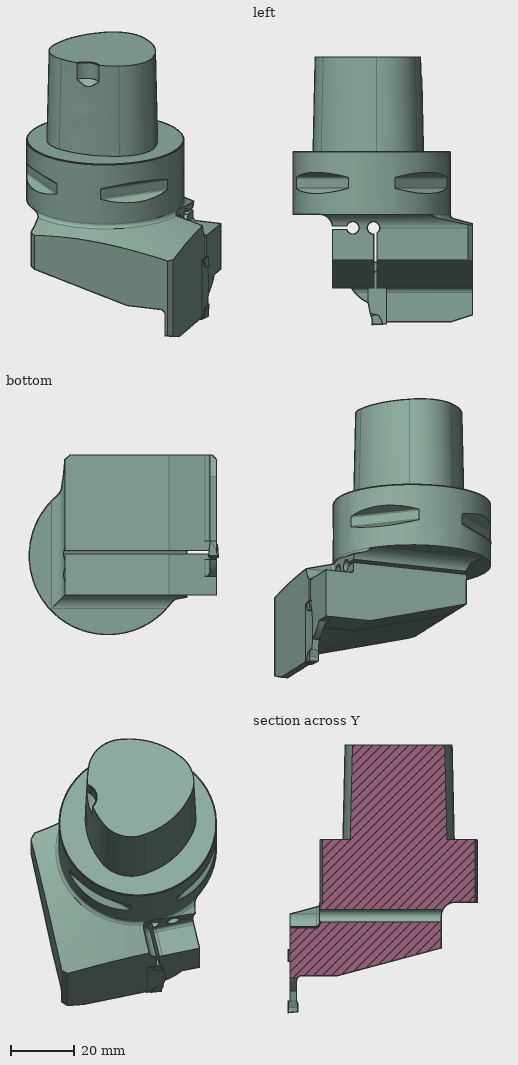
import cadquery as cq
import math


shank_height = 30.0
tip_radius = 18.6
joint_radius = 17.6
side_radius = 16.5
tip_half_angle = 24.7
shank_taper = 0.7

notch_radius = 4.4
notch_axis_y = -18.0
notch_depth = 5.4
notch_cone_height = 3.6
notch_chamfer = 0.25

flange_radius = 25.0
flange_height = 20.0
flange_chamfer = 0.25
groove_floor_distance = 22.1
groove_floor_width = 3.4
groove_flank_angle = 30.0
groove_floor_fillet = 0.4
groove_z = -flange_height / 2

head_left = -13.6
head_right = 34.5
head_front = -32.05
head_back = 12.4
head_flare = 4.25
flare_inset = head_flare * (1 - math.sqrt(0.5))
head_left_bottom = -34.4
head_bottom = -43.3
head_bottom_angle = 15.0
left_chamfer = 1.6
right_chamfer = 1.4
front_chamfer = 1.5
cone_angle = 15.0
neck_radius = 1.4

blade_left = 32.3
blade_bottom = -54.1
blade_root_fillet = 1.5
blade_heel_y = -25.2
blade_heel_z = -51.85
tongue_y = 6.5
tongue_mid = (4.4, -45.7)

insert_length = 20.1
insert_bottom = -55.0
insert_front = -4.8
insert_back = 1.1
insert_flank_length = 7.0
edge_y = -0.2
edge_left = 32.0
edge_right = 35.0
insert_heel_rise = 0.25
tip_shoulder = (0.5, 3.7)
tip_land_height = 1.6
tip_inner_top = (-2.4, 2.9)
tip_inner_end_y = -3.6
tip_bevel_height = 3.0
tip_side_relief = 0.25
end_face_rise = 0.3

hinge_hole_radius = 1.95
hinge_z = -24.2
hinge_hole_back_y = 5.95
hinge_hole_front_y = -0.6
back_slot_width = 1.0
clamp_slot_front = -1.7
clamp_slot_back = -0.7

recess_wall_x = 25.1
recess_wall_y = -4.0
recess_floor = -28.05
recess_fillet = 1.0
recess_round = 4.3

reach = 85.0


def polar(radius, degrees):
    angle = math.radians(degrees)
    return (radius * math.cos(angle), radius * math.sin(angle))


def polygon_section(z, reduction):
    """Closed wire of three tip arcs and three side arcs."""
    joint = joint_radius - reduction
    first_tip = 90
    section = cq.Workplane("XY", origin=(0, 0, z)).moveTo(*polar(joint, first_tip - tip_half_angle))
    for tip in (first_tip, first_tip + 120, first_tip + 240):
        section = section.threePointArc(
            polar(tip_radius - reduction, tip), polar(joint, tip + tip_half_angle)
        )
        section = section.threePointArc(
            polar(side_radius - reduction, tip + 60), polar(joint, tip + 120 - tip_half_angle)
        )
    return section.close().val()


def make_shank():
    sections = [polygon_section(0, 0), polygon_section(shank_height, shank_taper)]
    shank = cq.Workplane(cq.Solid.makeLoft(sections, True))
    notch_floor = shank_height - notch_depth
    drilling = (
        cq.Workplane("XZ")
        .polyline([
            (0, shank_height),
            (notch_radius + notch_chamfer, shank_height),
            (notch_radius, shank_height - notch_chamfer),
            (notch_radius, notch_floor),
            (0, notch_floor - notch_cone_height),
        ])
        .close()
        .revolve(360, (0, 0, 0), (0, 1, 0))
        .translate((0, notch_axis_y, 0))
    )
    return shank.cut(drilling)


def make_flange():
    flange = (
        cq.Workplane("XY").circle(flange_radius).extrude(-flange_height)
        .faces(">Z").chamfer(flange_chamfer)
    )
    flank_run = 2 * (flange_radius - groove_floor_distance)
    flank_rise = flank_run * math.tan(math.radians(groove_flank_angle))
    half_floor = groove_floor_width / 2
    half_mouth = half_floor + flank_rise
    groove = (
        cq.Workplane("XZ", origin=(0, 0, groove_z))
        .polyline([
            (groove_floor_distance, -half_floor),
            (groove_floor_distance + flank_run, -half_mouth),
            (groove_floor_distance + flank_run, half_mouth),
            (groove_floor_distance, half_floor),
        ])
        .close()
        .extrude(flange_radius, both=True)
        .faces("<X").edges("|Y").fillet(groove_floor_fillet)
    )
    for angle in (45, 135, 225, 315):
        flange = flange.cut(groove.rotate((0, 0, 0), (0, 0, 1), angle))
    return flange


def head_side_profile():
    """Head in the XZ plane: flared left side, sloped underside, blade on the right."""
    top = -flange_height
    slope_run = (head_left_bottom - head_bottom) / math.tan(math.radians(head_bottom_angle))
    return (
        cq.Workplane("XZ", origin=(0, reach / 2, 0))
        .moveTo(head_left - head_flare, top)
        .threePointArc(
            (head_left - flare_inset, top - flare_inset),
            (head_left, top - head_flare),
        )
        .lineTo(head_left, head_left_bottom)
        .lineTo(head_left + slope_run, head_bottom)
        .lineTo(blade_left - blade_root_fillet, head_bottom)
        .radiusArc((blade_left, head_bottom - blade_root_fillet), blade_root_fillet)
        .lineTo(blade_left, insert_bottom)
        .lineTo(head_right, insert_bottom)
        .lineTo(head_right, top)
        .close()
        .extrude(reach)
    )


def head_end_profile():
    """Head in the YZ plane: flared back side, tongue and blade outline below."""
    top = -flange_height
    tongue_end_z = insert_bottom + insert_flank_length
    return (
        cq.Workplane("YZ", origin=(-reach / 2, 0, 0))
        .moveTo(head_back + head_flare, top)
        .threePointArc(
            (head_back + flare_inset, top - flare_inset),
            (head_back, top - head_flare),
        )
        .lineTo(head_back, head_bottom)
        .lineTo(tongue_y, head_bottom)
        .threePointArc(tongue_mid, (insert_back, tongue_end_z))
        .lineTo(insert_front, tongue_end_z)
        .lineTo(insert_front, blade_bottom)
        .lineTo(blade_heel_y, blade_bottom)
        .lineTo(head_front, blade_heel_z)
        .lineTo(head_front, top)
        .close()
        .extrude(reach)
    )


def head_plan():
    """Head seen along Z: a rectangle with the two front corners chamfered."""
    far_left = head_left - head_flare
    far_back = head_back + head_flare
    return (
        cq.Workplane("XY", origin=(0, 0, insert_bottom))
        .polyline([
            (far_left, far_back),
            (far_left, head_front + front_chamfer),
            (head_left, head_front + front_chamfer),
            (head_left + left_chamfer, head_front),
            (head_right - right_chamfer, head_front),
            (head_right, head_front + front_chamfer),
            (head_right, far_back),
        ])
        .close()
        .extrude(-insert_bottom)
    )


def neck_arc_point(degrees):
    """Point on the neck fillet in the radial plane, turned from the flange side."""
    angle = math.radians(degrees)
    radius = flange_radius + neck_radius * (1 - math.cos(angle))
    return (radius, -flange_height - neck_radius * math.sin(angle))


def cone_envelope():
    """Solid of revolution whose top is the flange neck and the cone around it."""
    turn = 90 - cone_angle
    cone_start = neck_arc_point(turn)
    cone_drop = (reach - cone_start[0]) * math.tan(math.radians(cone_angle))
    return (
        cq.Workplane("XZ")
        .moveTo(0, -flange_height)
        .lineTo(flange_radius, -flange_height)
        .threePointArc(neck_arc_point(turn / 2), cone_start)
        .lineTo(reach, cone_start[1] - cone_drop)
        .lineTo(reach, -reach)
        .lineTo(0, -reach)
        .close()
        .revolve(360, (0, 0, 0), (0, 1, 0))
    )


def hinge_cutter():
    """Two holes along X, each with the slot that leaves it."""
    holes = (
        cq.Workplane("YZ", origin=(-reach / 2, 0, hinge_z))
        .pushPoints([(hinge_hole_back_y, 0), (hinge_hole_front_y, 0)])
        .circle(hinge_hole_radius)
        .extrude(reach)
    )
    back_slot = cq.Workplane("XY").box(
        reach, reach, back_slot_width, centered=(True, False, True)
    ).translate((0, hinge_hole_back_y, hinge_z))
    clamp_slot = cq.Workplane("XY").box(
        reach, clamp_slot_back - clamp_slot_front, reach, centered=(True, False, False)
    ).translate((0, clamp_slot_front, hinge_z - reach))
    return holes.union(back_slot).union(clamp_slot)


def recess_cutter():
    """Recess over the jaw, open towards +X, +Y and +Z, with rounded inner corners."""
    return (
        cq.Workplane("XY")
        .box(reach, reach, reach, centered=False)
        .edges("<Y and <Z").fillet(recess_round)
        .faces("<X").edges("<Y or <Z").fillet(recess_fillet)
        .translate((recess_wall_x, recess_wall_y, recess_floor))
    )


def seat_cutter():
    """Opening that keeps the blade's root fillet clear of the insert."""
    return cq.Workplane("XY").box(
        blade_root_fillet, insert_back - insert_front, head_bottom - insert_bottom, centered=False
    ).translate((blade_left - blade_root_fillet, insert_front, insert_bottom))


def make_holder(insert):
    head = head_side_profile().intersect(head_end_profile()).intersect(head_plan())
    head = head.intersect(cone_envelope())
    head = head.cut(hinge_cutter()).cut(recess_cutter())
    head = head.cut(seat_cutter()).cut(insert)
    return make_flange().union(make_shank()).union(head).solids()


def make_insert():
    """Double-ended insert, mirrored about its mid height."""
    middle = insert_bottom + insert_length / 2
    shoulder = (tip_shoulder[0], insert_bottom + tip_shoulder[1])
    land = (edge_y, insert_bottom + tip_land_height)
    edge = (edge_y, insert_bottom)
    half_body = (
        cq.Workplane("YZ", origin=(blade_left, 0, 0))
        .polyline([
            (insert_front, middle),
            (insert_back, middle),
            (insert_back, insert_bottom + insert_flank_length),
            shoulder,
            land,
            edge,
            (insert_front, insert_bottom + insert_heel_rise),
        ])
        .close()
        .extrude(head_right - blade_left)
    )
    tip = (
        cq.Workplane("YZ", origin=(edge_left, 0, 0))
        .polyline([
            shoulder,
            land,
            edge,
            (tip_inner_end_y, insert_bottom + insert_heel_rise),
            (tip_inner_top[0], insert_bottom + tip_inner_top[1]),
        ])
        .close()
        .extrude(edge_right - edge_left)
    )
    tip_plan = (
        cq.Workplane("XY", origin=(0, 0, insert_bottom))
        .polyline([
            (edge_left, insert_back),
            (edge_left, edge_y),
            (edge_left + tip_side_relief, tip_inner_end_y),
            (edge_right - tip_side_relief, tip_inner_end_y),
            (edge_right, edge_y),
            (edge_right, insert_back),
        ])
        .close()
        .extrude(insert_length / 2)
    )
    end_outline = (
        cq.Workplane("XZ", origin=(0, reach / 2, 0))
        .polyline([
            (edge_left, insert_bottom + end_face_rise),
            (edge_right, insert_bottom),
            (edge_right, middle),
            (blade_left, middle),
            (blade_left, shoulder[1]),
            (edge_left, insert_bottom + tip_bevel_height),
        ])
        .close()
        .extrude(reach)
    )
    half = half_body.union(tip.intersect(tip_plan)).intersect(end_outline)
    return half.union(half.mirror("XY", (0, 0, middle))).solids()


insert = make_insert()
holder = make_holder(insert)

result = cq.Compound.makeCompound([holder.val(), insert.val()])